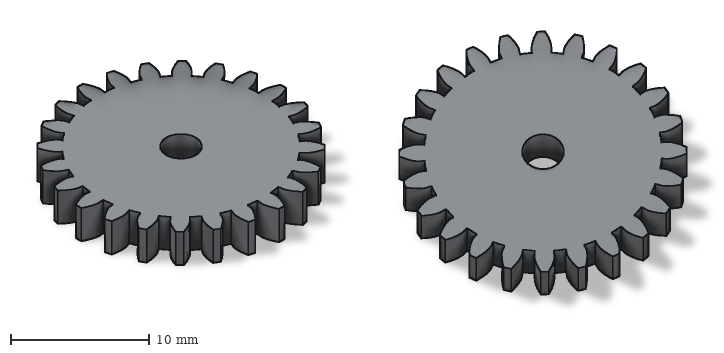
import cadquery as cq
import math

module = 0.8
tooth_count = 24
pressure_angle = math.radians(20)
dedendum_factor = 1.25
thickness = 3.0
bore_diameter = 3.0
flank_point_count = 6

pitch_radius = module * tooth_count / 2
tip_radius = pitch_radius + module
root_radius = pitch_radius - dedendum_factor * module
base_radius = pitch_radius * math.cos(pressure_angle)

tooth_pitch = 2 * math.pi / tooth_count
involute_at_pitch = math.tan(pressure_angle) - pressure_angle
base_half_angle = tooth_pitch / 4 + involute_at_pitch


def polar(radius, angle):
    return (radius * math.cos(angle), radius * math.sin(angle))


def half_tooth_angle(radius):
    """Half the angle the tooth spans at a radius on its involute flank."""
    roll = math.acos(base_radius / radius)
    return base_half_angle - (math.tan(roll) - roll)


def flank_radii():
    """Radii from base to tip, spaced evenly in involute roll."""
    tip_roll = math.sqrt((tip_radius / base_radius) ** 2 - 1)
    rolls = [tip_roll * i / (flank_point_count - 1) for i in range(flank_point_count)]
    return [base_radius * math.sqrt(1 + roll**2) for roll in rolls]


def add_tooth(outline, center_angle):
    """Draw one tooth and the root arc that leads to the next tooth."""
    radii = flank_radii()
    rising = [polar(r, center_angle - half_tooth_angle(r)) for r in radii]
    falling = [polar(r, center_angle + half_tooth_angle(r)) for r in reversed(radii)]
    root_middle = polar(root_radius, center_angle + tooth_pitch / 2)
    next_root = polar(root_radius, center_angle + tooth_pitch - base_half_angle)
    return (
        outline.lineTo(*rising[0])
        .spline(rising[1:], includeCurrent=True)
        .threePointArc(polar(tip_radius, center_angle), falling[0])
        .spline(falling[1:], includeCurrent=True)
        .lineTo(*polar(root_radius, center_angle + base_half_angle))
        .threePointArc(root_middle, next_root)
    )


def gear_blank():
    outline = cq.Workplane("XY").moveTo(*polar(root_radius, -base_half_angle))
    for tooth in range(tooth_count):
        outline = add_tooth(outline, tooth * tooth_pitch)
    return outline.close().extrude(thickness)


def bore():
    return cq.Workplane("XY").circle(bore_diameter / 2).extrude(thickness)


result = gear_blank().cut(bore())